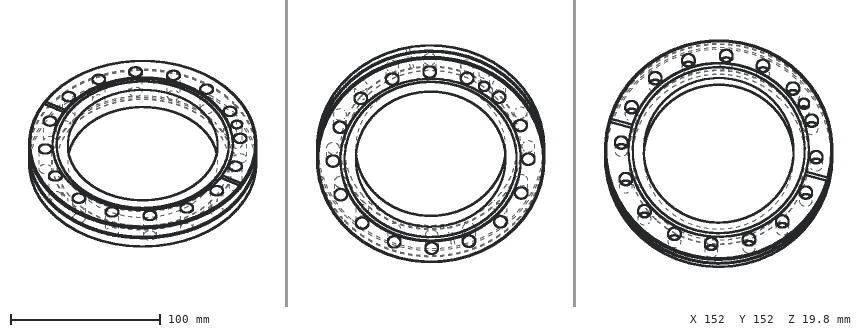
import cadquery as cq
import math

outer_diameter = 152.0
bore_diameter = 100.0
thickness = 19.8
edge_chamfer = 0.9
seam_depth = 0.3
seam_width = 1.5
seam_floor_width = 0.6

recess_radius = 60.2
recess_depth = 1.5
knife_radius = 57.5
knife_tip_depth = 0.8
inner_face_depth = 1.34

bolt_count = 16
bolt_pitch = 360 / bolt_count
bolt_circle_radius = 65.2
bolt_hole_diameter = 8.5
extra_hole_diameter = 7.0
extra_hole_angle = 2.5 * bolt_pitch

groove_angle = bolt_pitch / 2
groove_width = 2.3
groove_depth = 0.6

outer_radius = outer_diameter / 2
bore_radius = bore_diameter / 2


def make_body():
    """Revolve the upper half section and mirror it about the seam plane."""
    middle = thickness / 2
    section = (
        cq.Workplane("XZ")
        .moveTo(bore_radius, middle)
        .lineTo(outer_radius - seam_depth, middle)
        .lineTo(outer_radius - seam_depth, middle + seam_floor_width / 2)
        .lineTo(outer_radius, middle + seam_width / 2)
        .lineTo(outer_radius, thickness - edge_chamfer)
        .lineTo(outer_radius - edge_chamfer, thickness)
        .lineTo(recess_radius, thickness)
        .lineTo(recess_radius, thickness - recess_depth)
        .lineTo(knife_radius, thickness - knife_tip_depth)
        .lineTo(knife_radius, thickness - inner_face_depth)
        .lineTo(bore_radius, thickness - inner_face_depth)
        .close()
    )
    upper_half = section.revolve(360, (0, 0, 0), (0, 1, 0))
    lower_half = upper_half.mirror("XY", (0, 0, middle))
    return upper_half.union(lower_half)


def rim_hole(angle, diameter):
    """Cutter for a through hole on the bolt circle."""
    x = bolt_circle_radius * math.cos(math.radians(angle))
    y = bolt_circle_radius * math.sin(math.radians(angle))
    return cq.Workplane("XY").center(x, y).circle(diameter / 2).extrude(thickness)


def leak_groove(angle):
    """Radial cylinder sunk into the top face from the recess to the outer edge."""
    radius = (groove_width / 2) ** 2 / (2 * groove_depth) + groove_depth / 2
    start = (recess_radius + knife_radius) / 2
    return (
        cq.Workplane("YZ", origin=(start, 0, thickness - groove_depth + radius))
        .circle(radius)
        .extrude(outer_radius - start)
        .rotate((0, 0, 0), (0, 0, 1), angle)
    )


result = make_body()

for index in range(bolt_count):
    result = result.cut(rim_hole(index * bolt_pitch, bolt_hole_diameter))
result = result.cut(rim_hole(extra_hole_angle, extra_hole_diameter))

for angle in (groove_angle, groove_angle + 180):
    result = result.cut(leak_groove(angle))